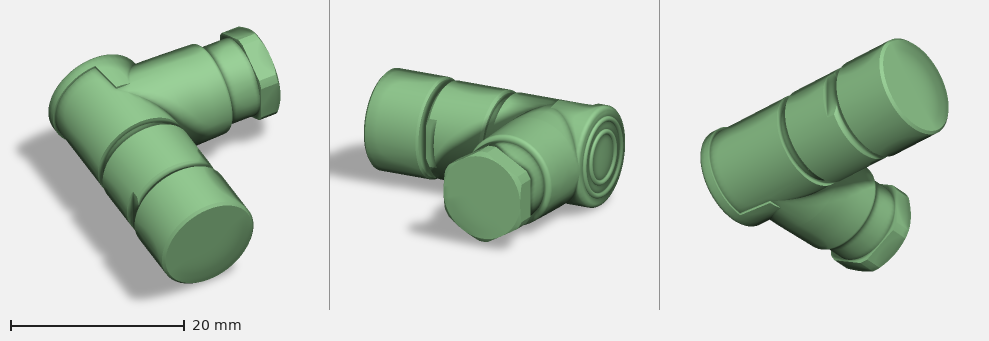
import cadquery as cq
import math


overall_width = 24.85

bead_radius = 0.3
bead_ring_diameters = (9.0, 6.0)

body_diameter = 11.4
groove_diameter = 10.0
collar_diameter = 11.6
neck_diameter = 6.0
nut_diameter = 12.0
body_start = bead_radius
body_end = 12.05
collar_start = 13.1
collar_end = 20.68
nut_start = 21.25
nut_end = 28.4
collar_front_chamfer = 0.3
collar_rear_chamfer = 0.45
nut_front_chamfer = 0.25
nut_rear_chamfer = 0.3

collar_flat_width = 10.0
collar_flat_start = 19.23

cap_diameter = nut_diameter
cap_fillet = 0.5
rim_end = 1.8
lobe_drop = 0.45

branch_x = body_start + body_diameter / 2
sleeve_start = cap_diameter / 2
sleeve_end = 12.47
sleeve_end_diameter = 11.0
sleeve_fillet = 0.5
stub_diameter = 9.5
hex_start = 16.3
hex_end = overall_width - cap_diameter / 2
hex_across_flats = 10.0
hex_corner_diameter = 11.0
hex_chamfer_angle = 35.0


def x_cylinder(diameter, start, end):
    """Cylinder on the X axis between two X positions."""
    return cq.Workplane("YZ", origin=(start, 0, 0)).circle(diameter / 2).extrude(end - start)


def y_plane(y):
    """Plane across the branch axis, with its normal pointing along +Y."""
    return cq.Plane(origin=(branch_x, y, 0), xDir=(1, 0, 0), normal=(0, 1, 0))


def y_cylinder(diameter, start, end):
    """Cylinder on the branch axis between two Y positions."""
    return cq.Workplane(y_plane(start)).circle(diameter / 2).extrude(end - start)


def make_bead(ring_diameter):
    """Torus whose front half stands out of the closed end."""
    ring = cq.Solid.makeTorus(
        ring_diameter / 2, bead_radius, cq.Vector(body_start, 0, 0), cq.Vector(1, 0, 0)
    )
    return cq.Workplane(obj=ring)


def make_cap():
    """Filleted rim, with a lobe that reaches back to the branch axis on the +Y side."""
    radius = cap_diameter / 2
    full = x_cylinder(cap_diameter, body_start, branch_x).faces("<X").edges().fillet(cap_fillet)
    cutaway = (
        cq.Workplane("XY")
        .moveTo(rim_end, -lobe_drop)
        .lineTo(branch_x, 0)
        .lineTo(branch_x, -radius)
        .lineTo(rim_end, -radius)
        .close()
        .extrude(radius, both=True)
    )
    return full.cut(cutaway)


def make_collar():
    """Chamfered collar with two wrench flats facing +Y and -Y."""
    collar = x_cylinder(collar_diameter, collar_start, collar_end)
    collar = collar.faces("<X").edges().chamfer(collar_front_chamfer)
    collar = collar.faces(">X").edges().chamfer(collar_rear_chamfer)
    flat_depth = (collar_diameter - collar_flat_width) / 2
    flat_length = collar_end - collar_flat_start
    for side in (1, -1):
        cutter = cq.Workplane("XY").box(flat_length, flat_depth, collar_diameter).translate(
            (collar_end - flat_length / 2, side * (collar_flat_width + flat_depth) / 2, 0)
        )
        collar = collar.cut(cutter)
    return collar


def make_coupling_nut():
    """Coupling nut at the far end of the run, chamfered at both ends."""
    nut = x_cylinder(nut_diameter, nut_start, nut_end)
    nut = nut.faces("<X").edges().chamfer(nut_front_chamfer)
    return nut.faces(">X").edges().chamfer(nut_rear_chamfer)


def make_sleeve():
    """Sleeve that narrows from the body diameter, with a rounded outer edge."""
    sleeve = (
        cq.Workplane(y_plane(sleeve_start))
        .circle(body_diameter / 2)
        .workplane(offset=sleeve_end - sleeve_start)
        .circle(sleeve_end_diameter / 2)
        .loft(ruled=True)
    )
    return sleeve.faces(">Y").edges().fillet(sleeve_fillet)


def make_hex_nut():
    """Hexagon with flats facing +X and -X, rounded corners and a chamfered end."""
    length = hex_end - hex_start
    hexagon = (
        cq.Workplane(y_plane(hex_start))
        .polygon(6, hex_across_flats, circumscribed=True)
        .extrude(length)
    )
    chamfer_width = (hex_corner_diameter - hex_across_flats) / 2
    chamfer_height = chamfer_width * math.tan(math.radians(hex_chamfer_angle))
    envelope = y_cylinder(hex_corner_diameter, hex_start, hex_end)
    envelope = envelope.faces(">Y").edges().chamfer(chamfer_height, chamfer_width)
    return hexagon.intersect(envelope)


result = x_cylinder(body_diameter, body_start + cap_fillet, body_end)
result = result.union(y_cylinder(body_diameter, 0, sleeve_start))
result = result.union(make_cap())
for ring_diameter in bead_ring_diameters:
    result = result.union(make_bead(ring_diameter))

result = result.union(x_cylinder(groove_diameter, body_end, collar_start))
result = result.union(make_collar())
result = result.union(x_cylinder(neck_diameter, collar_end, nut_start))
result = result.union(make_coupling_nut())

result = result.union(make_sleeve())
result = result.union(y_cylinder(stub_diameter, sleeve_end, hex_start))
result = result.union(make_hex_nut())